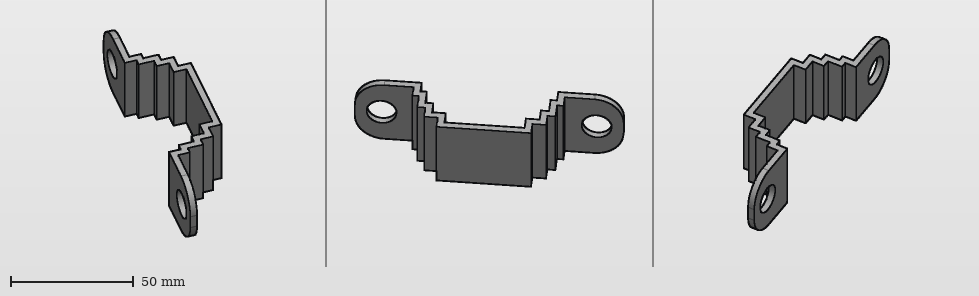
import cadquery as cq

length = 110.0
depth = 25.5
height = 30.0
thickness = 3.0

corner_radius = 12.0
hole_diameter = 12.2
hole_spacing = 88.0

inner_half_widths = [27.9, 25.3, 22.0, 16.4]
outer_levels = [8.0, 14.6, 20.0, depth]


def stepped_side(half_widths, levels, ear_level):
    """Points of one strap face, from the right ear tip over the crown to the left ear tip."""
    right_half = [(length / 2, ear_level)]
    level = ear_level
    for half_width, next_level in zip(half_widths, levels):
        right_half.append((half_width, level))
        right_half.append((half_width, next_level))
        level = next_level
    left_half = [(-x, y) for x, y in reversed(right_half)]
    return right_half + left_half


outer_half_widths = [x + thickness for x in inner_half_widths]
inner_levels = [y - thickness for y in outer_levels]
inner_side = stepped_side(inner_half_widths, inner_levels, 0)
outer_side = stepped_side(outer_half_widths, outer_levels, thickness)
profile = inner_side + outer_side[::-1]
strip = cq.Workplane("XY").polyline(profile).close().extrude(height)

strip = strip.edges("|Y and (<X or >X)").fillet(corner_radius)

holes = (
    cq.Workplane("XZ", origin=(0, 0, height / 2))
    .pushPoints([(-hole_spacing / 2, 0), (hole_spacing / 2, 0)])
    .circle(hole_diameter / 2)
    .extrude(-thickness)
)
result = strip.cut(holes)